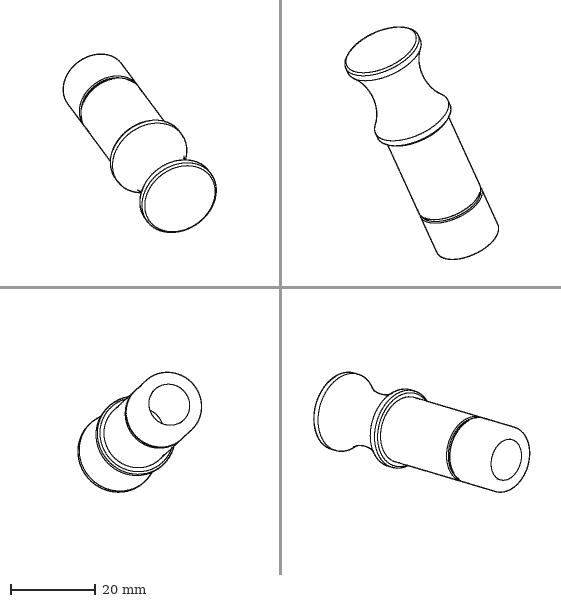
import cadquery as cq
import math

total_length = 57.0
knob_start = 35.0

shaft_radius = 16.0 / 2
shaft_fillet = 0.5

groove_start = 11.2
groove_width = 1.0
groove_depth = 0.35
groove_wall_run = 0.2

rim_radius = 19.0 / 2
rim_chamfer = 0.5
rim_width = 2.0
waist_radius = 6.5

bore_radius = 10.0 / 2
bore_depth = 28.5
drill_point_angle = 118.0


def make_body():
    """Revolve the outer half-profile of shaft, groove and knob about X."""
    groove_end = groove_start + groove_width
    groove_radius = shaft_radius - groove_depth
    waist_x = (knob_start + total_length) / 2
    rim_edge_radius = rim_radius - rim_chamfer
    profile = (
        cq.Workplane("XY")
        .moveTo(0, 0)
        .lineTo(0, shaft_radius - shaft_fillet)
        .radiusArc((shaft_fillet, shaft_radius), shaft_fillet)
        .lineTo(groove_start, shaft_radius)
        .lineTo(groove_start + groove_wall_run, groove_radius)
        .lineTo(groove_end - groove_wall_run, groove_radius)
        .lineTo(groove_end, shaft_radius)
        .lineTo(knob_start, shaft_radius)
        .lineTo(knob_start, rim_edge_radius)
        .lineTo(knob_start + rim_chamfer, rim_radius)
        .lineTo(knob_start + rim_width, rim_radius)
        .threePointArc((waist_x, waist_radius), (total_length - rim_width, rim_radius))
        .lineTo(total_length - rim_chamfer, rim_radius)
        .lineTo(total_length, rim_edge_radius)
        .lineTo(total_length, 0)
        .close()
    )
    return profile.revolve(360, (0, 0, 0), (1, 0, 0))


def make_bore():
    """Revolve the drilled hole, with its conical bottom, about X."""
    point_length = bore_radius / math.tan(math.radians(drill_point_angle / 2))
    profile = (
        cq.Workplane("XY")
        .moveTo(0, 0)
        .lineTo(0, bore_radius)
        .lineTo(bore_depth, bore_radius)
        .lineTo(bore_depth + point_length, 0)
        .close()
    )
    return profile.revolve(360, (0, 0, 0), (1, 0, 0))


result = make_body().cut(make_bore())